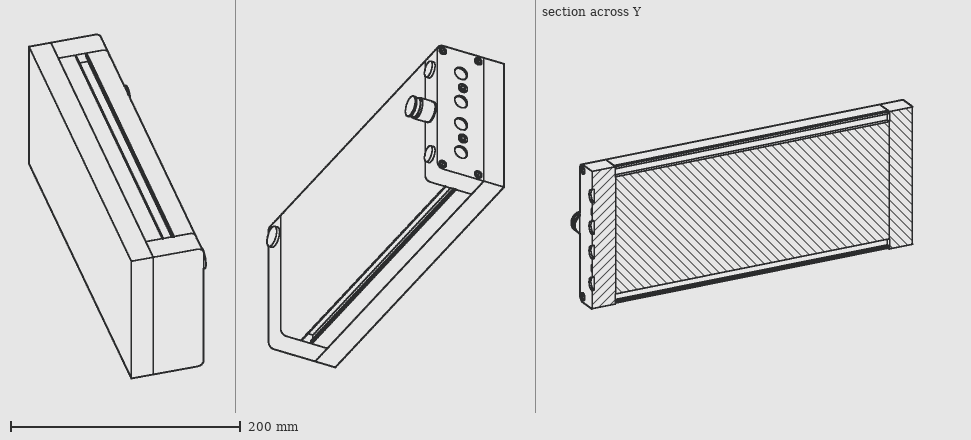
import cadquery as cq

LENGTH = 316.0
HEIGHT = 130.0
BODY_DEPTH = 65.7
PAD_DEPTH = 20.0
MID_HEIGHT = HEIGHT / 2

CAP_LENGTH = 23.0
HOUSING_DEPTH = BODY_DEPTH - PAD_DEPTH
BACK_CORNER_RADIUS = 5.7

SLOT_Y = 40.5
SLOT_STEPS = [(10.5, 1.0), (8.5, 3.0), (12.5, 9.5)]

CABLE_CONNECTOR_X = CAP_LENGTH / 2
BUTTON_X = LENGTH - CAP_LENGTH / 2
REAR_FITTING_OFFSET = 44.5
FITTING_HEIGHT = 3.0
PORT_DIAMETER = 14.5
BUTTON_DIAMETER = 18.3

CONNECTOR_STEPS = [(18.3, 1.0), (19.0, 13.3), (18.3, 15.2), (17.0, 19.0), (18.3, 20.5)]

SCREW_INSET = 5.5
SCREW_DIAMETER = 7.0
SCREW_HEX_ACROSS_FLATS = 4.0
SCREW_HEX_TURN = 30

HOLE_GROUP_OFFSET = 26.5
ROUND_RECESS_SPREAD = 15.0
ROUND_RECESS_Y = BODY_DEPTH - 23.5
ROUND_RECESS_DIAMETER = 12.3
ROUND_RECESS_DEPTH = 2.0
PLUG_Y = BODY_DEPTH - 25.3
PLUG_DIAMETER = 8.5
PLUG_HEX_ACROSS_FLATS = 4.7

HEAD_RECESS_DEPTH = 0.3
HEX_SOCKET_DEPTH = 3.8
HEX_CORNER_RATIO = 2 / 3**0.5


def housing_block(start_x, length):
    """Length of the housing section, with its two rear edges rounded."""
    block = cq.Workplane("XY").box(length, HOUSING_DEPTH, HEIGHT, centered=False)
    block = block.faces(">Y").edges("|X").fillet(BACK_CORNER_RADIUS)
    return block.translate((start_x, PAD_DEPTH, 0))


def rear_cylinder(x, z, diameter, start, end):
    """Cylinder behind the housing, between two distances from its rear face."""
    center = cq.Vector(x, BODY_DEPTH + start, z)
    return cq.Workplane(cq.Solid.makeCylinder(diameter / 2, end - start, center, cq.Vector(0, 1, 0)))


def end_face_plane():
    """Sketch plane on the left end face: local x is Y, local y is Z."""
    return cq.Workplane("YZ")


def socket_head_cutter(points, diameter, across_flats, turn=0):
    """Shallow round head recess with a hexagon socket, whose corners point up and down at no turn."""
    heads = end_face_plane().pushPoints(points).circle(diameter / 2).extrude(HEAD_RECESS_DEPTH)
    corners = across_flats * HEX_CORNER_RATIO
    hexagon = cq.Sketch().regularPolygon(corners / 2, 6, angle=turn)
    sockets = end_face_plane().pushPoints(points).placeSketch(hexagon).extrude(HEX_SOCKET_DEPTH)
    return heads.union(sockets)


def corner_screw_points():
    ys = (PAD_DEPTH + SCREW_INSET, BODY_DEPTH - SCREW_INSET)
    zs = (SCREW_INSET, HEIGHT - SCREW_INSET)
    return [(y, z) for y in ys for z in zs]


def make_pad():
    """Flat suction pad covering the whole front."""
    return cq.Workplane("XY").box(LENGTH, PAD_DEPTH, HEIGHT, centered=False)


def make_profile():
    """Extruded profile between the caps, with T-slots along its top and bottom."""
    length = LENGTH - 2 * CAP_LENGTH
    profile = housing_block(CAP_LENGTH, length)
    start = 0
    for width, end in SLOT_STEPS:
        groove = cq.Workplane("XY").box(length, width, end - start, centered=(False, True, False))
        for z in (start, HEIGHT - end):
            profile = profile.cut(groove.translate((CAP_LENGTH, SLOT_Y, z)))
        start = end
    return profile


def make_left_cap():
    """End cap with screw heads, recesses, a cable connector and two ports."""
    cap = housing_block(0, CAP_LENGTH)
    screws = socket_head_cutter(corner_screw_points(), SCREW_DIAMETER, SCREW_HEX_ACROSS_FLATS, SCREW_HEX_TURN)
    cap = cap.cut(screws)

    for group_z in (MID_HEIGHT - HOLE_GROUP_OFFSET, MID_HEIGHT + HOLE_GROUP_OFFSET):
        cap = cap.cut(socket_head_cutter([(PLUG_Y, group_z)], PLUG_DIAMETER, PLUG_HEX_ACROSS_FLATS))
        recess_points = [(ROUND_RECESS_Y, group_z + side * ROUND_RECESS_SPREAD) for side in (-1, 1)]
        recesses = end_face_plane().pushPoints(recess_points).circle(ROUND_RECESS_DIAMETER / 2)
        cap = cap.cut(recesses.extrude(ROUND_RECESS_DEPTH))

    for z in (MID_HEIGHT - REAR_FITTING_OFFSET, MID_HEIGHT + REAR_FITTING_OFFSET):
        cap = cap.union(rear_cylinder(CABLE_CONNECTOR_X, z, PORT_DIAMETER, 0, FITTING_HEIGHT))

    start = 0
    for diameter, end in CONNECTOR_STEPS:
        cap = cap.union(rear_cylinder(CABLE_CONNECTOR_X, MID_HEIGHT, diameter, start, end))
        start = end
    return cap


def make_right_cap():
    """Plain end cap with one round button behind it."""
    cap = housing_block(LENGTH - CAP_LENGTH, CAP_LENGTH)
    button_z = MID_HEIGHT + REAR_FITTING_OFFSET
    return cap.union(rear_cylinder(BUTTON_X, button_z, BUTTON_DIAMETER, 0, FITTING_HEIGHT))


pad = make_pad()
profile = make_profile()
left_cap = make_left_cap()
right_cap = make_right_cap()

result = cq.Compound.makeCompound([pad.val(), profile.val(), left_cap.val(), right_cap.val()])